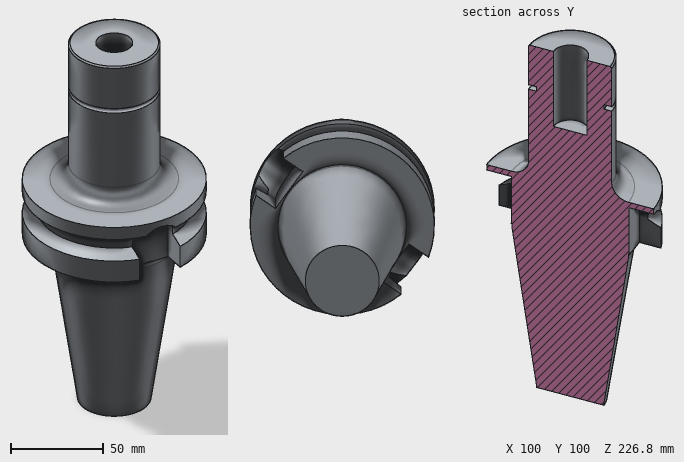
import cadquery as cq
import math


total_height = 226.8
taper_length = 101.8
collar_length = 3.0
flange_thickness = 35.0
upper_rim_height = 7.7
lower_rim_height = 13.4
groove_cone_height = 3.6

flange_radius = 100.0 / 2
flange_groove_radius = 42.5
taper_large_radius = 35.0
taper_ratio = 7 / 24
nose_radius = 25.0
nose_fillet = 10.0
nose_chamfer = 1.0

nose_groove_radius = 20.5
nose_groove_width = 2.7
nose_groove_depth_from_top = 26.8

bore_diameter = 20.0
bore_depth = 50.0

slot_width = 25.6
slot_height = 31.0
slot_floor_distance = 35.4

taper_small_radius = taper_large_radius - taper_length * taper_ratio / 2
flange_bottom = taper_length + collar_length
flange_top = flange_bottom + flange_thickness
lower_rim_top = flange_bottom + lower_rim_height
upper_rim_bottom = flange_top - upper_rim_height
groove_floor_bottom = lower_rim_top + groove_cone_height
groove_floor_top = upper_rim_bottom - groove_cone_height


def make_body():
    """Revolve the half outline of the holder, drawn in XZ, about the Z axis."""
    arc_offset = nose_fillet * (1 - math.sqrt(0.5))
    fillet_middle = (nose_radius + arc_offset, flange_top + arc_offset)
    outline = (
        cq.Workplane("XZ")
        .lineTo(taper_small_radius, 0)
        .lineTo(taper_large_radius, taper_length)
        .lineTo(taper_large_radius, flange_bottom)
        .lineTo(flange_radius, flange_bottom)
        .lineTo(flange_radius, lower_rim_top)
        .lineTo(flange_groove_radius, groove_floor_bottom)
        .lineTo(flange_groove_radius, groove_floor_top)
        .lineTo(flange_radius, upper_rim_bottom)
        .lineTo(flange_radius, flange_top)
        .lineTo(nose_radius + nose_fillet, flange_top)
        .threePointArc(fillet_middle, (nose_radius, flange_top + nose_fillet))
        .lineTo(nose_radius, total_height - nose_chamfer)
        .lineTo(nose_radius - nose_chamfer, total_height)
        .lineTo(0, total_height)
        .close()
    )
    return outline.revolve(360, (0, 0, 0), (0, 1, 0))


def make_nose_groove():
    """Ring removed from the nose."""
    groove_bottom = total_height - nose_groove_depth_from_top - nose_groove_width
    return (
        cq.Workplane("XY", origin=(0, 0, groove_bottom))
        .circle(flange_radius)
        .circle(nose_groove_radius)
        .extrude(nose_groove_width)
    )


def make_bore():
    """Blind cylinder going down from the top face."""
    return (
        cq.Workplane("XY", origin=(0, 0, total_height))
        .circle(bore_diameter / 2)
        .extrude(-bore_depth)
    )


def make_drive_slot(side):
    """Arch-topped slot, open below; side is -1 for -X and +1 for +X."""
    half_width = slot_width / 2
    crown = flange_bottom + slot_height
    arch_base = crown - half_width
    return (
        cq.Workplane("YZ", origin=(side * slot_floor_distance, 0, 0))
        .moveTo(-half_width, flange_bottom)
        .lineTo(half_width, flange_bottom)
        .lineTo(half_width, arch_base)
        .threePointArc((0, crown), (-half_width, arch_base))
        .close()
        .extrude(side * flange_radius)
    )


result = make_body().cut(make_nose_groove()).cut(make_bore())
for slot_side in (-1, 1):
    result = result.cut(make_drive_slot(slot_side))